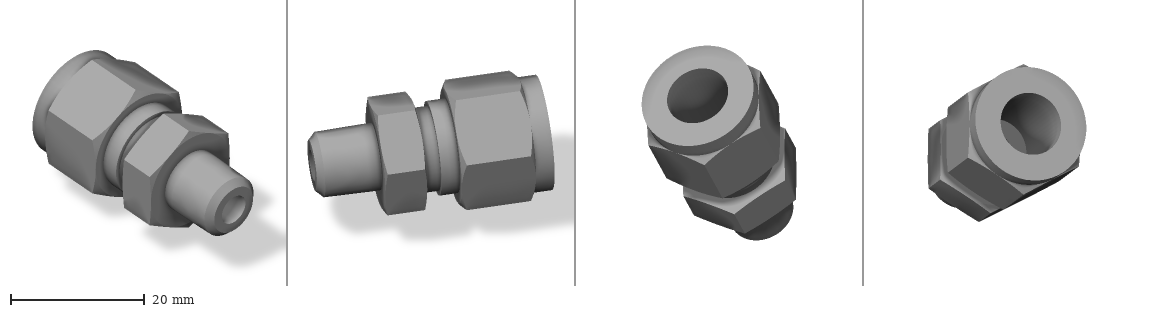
import cadquery as cq
import math

nut_collar_end = 2.82
nut_end = 14.15
shoulder_end = 16.95
neck_end = 19.27
body_hex_end = 25.63
thread_start = 27.1
thread_tip = 34.25
overall_length = 35.3

nut_across_flats = 17.47
body_across_flats = 15.9
shoulder_diameter = 14.33
neck_diameter = 12.85
stub_diameter = 10.2
thread_tip_diameter = 9.92
tip_chamfer = overall_length - thread_tip
tube_bore_diameter = 9.53
flow_bore_diameter = 4.75
tube_bore_depth = shoulder_end

nut_chamfer_angle = 30.0
body_chamfer_angle = 15.0


def revolve_about_axis(profile):
    """Revolve a closed (x, radius) outline about the fitting axis."""
    return cq.Workplane("XY").polyline(profile).close().revolve(360, (0, 0, 0), (1, 0, 0))


def cylinder(start, end, diameter):
    return cq.Workplane("YZ").workplane(offset=start).circle(diameter / 2).extrude(end - start)


def chamfered_hexagon(start, end, across_flats, chamfer_angle):
    """Hexagonal prism with corners on +Z and -Z, turned conically at both ends."""
    flat_radius = across_flats / 2
    corner_radius = flat_radius / math.cos(math.radians(30))
    chamfer_length = (corner_radius - flat_radius) * math.tan(math.radians(chamfer_angle))
    prism = (
        cq.Workplane("YZ")
        .workplane(offset=start)
        .transformed(rotate=(0, 0, 90))
        .polygon(6, 2 * corner_radius)
        .extrude(end - start)
    )
    turned_envelope = revolve_about_axis([
        (start, 0),
        (start, flat_radius),
        (start + chamfer_length, corner_radius),
        (end - chamfer_length, corner_radius),
        (end, flat_radius),
        (end, 0),
    ])
    return prism.intersect(turned_envelope)


nut_collar = cylinder(0, nut_collar_end, nut_across_flats)
nut_hexagon = chamfered_hexagon(nut_collar_end, nut_end, nut_across_flats, nut_chamfer_angle)

shoulder = cylinder(nut_end, shoulder_end, shoulder_diameter)
neck = cylinder(shoulder_end, neck_end, neck_diameter)
body_hexagon = chamfered_hexagon(neck_end, body_hex_end, body_across_flats, body_chamfer_angle)

male_end = revolve_about_axis([
    (body_hex_end, 0),
    (body_hex_end, stub_diameter / 2),
    (thread_start, stub_diameter / 2),
    (thread_tip, thread_tip_diameter / 2),
    (overall_length, thread_tip_diameter / 2 - tip_chamfer),
    (overall_length, 0),
])

outer_body = nut_collar
for section in (nut_hexagon, shoulder, neck, body_hexagon, male_end):
    outer_body = outer_body.union(section)

tube_bore = cylinder(0, tube_bore_depth, tube_bore_diameter)
flow_bore = cylinder(0, overall_length, flow_bore_diameter)

result = outer_body.cut(tube_bore).cut(flow_bore)